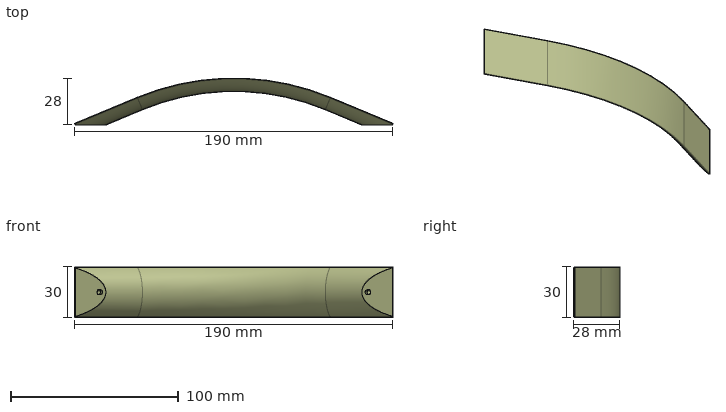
import cadquery as cq
import math

length = 190.0
depth = 28.0
width = 30.0

back_radius = 150.0
leg_angle = 22.6

thickness = 8.0
edge_radius = 0.3

hole_spacing = 160.0
hole_diameter = 3.0
hole_depth = 2.5
drill_tip_angle = 90.0

slope = math.radians(leg_angle)
joint_x = back_radius * math.sin(slope)
leg_length = (length / 2 - joint_x) / math.cos(slope)
bend_center_y = depth - back_radius


def back_point(angle):
    """Point on the back of the bend, at an angle in radians from the +Y axis."""
    return (
        back_radius * math.sin(angle),
        bend_center_y + back_radius * math.cos(angle),
    )


def domed_section(plane):
    """Flat back on local y, dome rising along local x, and rounded long edges."""
    edge_center_x = edge_radius
    edge_center_y = width / 2 - edge_radius
    rise = thickness - edge_radius
    dome_radius = (rise**2 + edge_center_y**2 - edge_radius**2) / (2 * (rise - edge_radius))
    dome_center_x = thickness - dome_radius
    touch_angle = math.atan2(edge_center_y, edge_center_x - dome_center_x)

    def edge_point(angle):
        return (
            edge_center_x + edge_radius * math.cos(angle),
            edge_center_y + edge_radius * math.sin(angle),
        )

    def mirrored(point):
        return (point[0], -point[1])

    back_end = (0, edge_center_y)
    edge_middle = edge_point((touch_angle + math.pi) / 2)
    dome_end = edge_point(touch_angle)
    return (
        cq.Workplane(plane)
        .moveTo(*mirrored(back_end))
        .threePointArc(mirrored(edge_middle), mirrored(dome_end))
        .threePointArc((thickness, 0), dome_end)
        .threePointArc(edge_middle, back_end)
        .close()
    )


def domed_bar():
    """Sweep the domed section along the line of the flat back."""
    end_y = back_point(slope)[1] - leg_length * math.sin(slope)
    left_end = (-length / 2, end_y)
    right_end = (length / 2, end_y)
    path = (
        cq.Workplane("XY")
        .moveTo(*left_end)
        .lineTo(*back_point(-slope))
        .threePointArc(back_point(0), back_point(slope))
        .lineTo(*right_end)
    )
    section_plane = cq.Plane(
        origin=(*left_end, 0),
        xDir=(math.sin(slope), -math.cos(slope), 0),
        normal=(math.cos(slope), math.sin(slope), 0),
    )
    return domed_section(section_plane).sweep(path, transition="right")


def trim_feet(bar):
    """Keep only the part of the bar behind the mounting plane Y = 0."""
    kept_space = cq.Workplane("XY").box(length, depth, width, centered=(True, False, True))
    return bar.intersect(kept_space)


def drilled_hole(side):
    """Hole with a conical tip in the left (side = -1) or right (side = 1) foot."""
    axis_plane = cq.Plane(
        origin=(side * hole_spacing / 2, 0, 0),
        xDir=(side * math.sin(slope), math.cos(slope), 0),
        normal=(0, 0, 1),
    )
    hole_radius = hole_diameter / 2
    tip_length = hole_radius / math.tan(math.radians(drill_tip_angle / 2))
    start = -hole_diameter
    return (
        cq.Workplane(axis_plane)
        .moveTo(start, 0)
        .lineTo(start, hole_radius)
        .lineTo(hole_depth, hole_radius)
        .lineTo(hole_depth + tip_length, 0)
        .close()
        .revolve(360, (0, 0, 0), (1, 0, 0))
    )


result = trim_feet(domed_bar())
for side in (-1, 1):
    result = result.cut(drilled_hole(side))